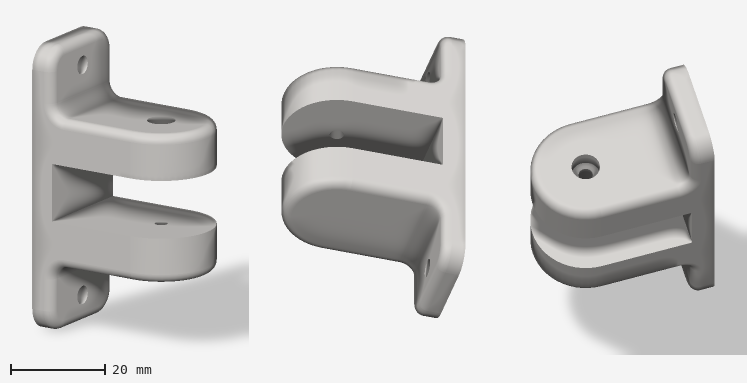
import cadquery as cq

WIDTH = 23.51
PLATE_THICKNESS = 5.0
PLATE_CORNER_RADIUS = 5.0

GAP = 12.72
ARM_THICKNESS = 10.0
PLATE_OVERHANG = 15.0
END_RADIUS = WIDTH / 2
PIVOT_X = 25.0
ARM_LENGTH = PIVOT_X + END_RADIUS
ARM_INNER_Z = GAP / 2
ARM_OUTER_Z = ARM_INNER_Z + ARM_THICKNESS
PLATE_HEIGHT = 2 * (ARM_OUTER_Z + PLATE_OVERHANG)

ROOT_RADIUS = 3.0
EDGE_RADIUS = 2.0

MOUNT_DIAMETER = 4.0
MOUNT_END_DISTANCE = 6.0
SCREW_HEAD_DIAMETER = 6.0
SCREW_HEAD_DEPTH = 3.5
SCREW_DIAMETER = 3.0
PILOT_DIAMETER = 2.8
PILOT_DEPTH = 8.0


def make_plate():
    """Rectangular plate with rounded corners."""
    plate = cq.Workplane("XY").box(
        PLATE_THICKNESS, WIDTH, PLATE_HEIGHT, centered=(False, True, True)
    )
    return plate.edges("|X").fillet(PLATE_CORNER_RADIUS)


def make_arm(bottom_z):
    """Flat arm from the plate back to a half-round end centred on the pivot."""
    return (
        cq.Workplane("XY", origin=(0, 0, bottom_z))
        .moveTo(0, -END_RADIUS)
        .lineTo(PIVOT_X, -END_RADIUS)
        .threePointArc((ARM_LENGTH, 0), (PIVOT_X, END_RADIUS))
        .lineTo(0, END_RADIUS)
        .close()
        .extrude(ARM_THICKNESS)
    )


def round_edges(body):
    """Blend each arm root, then round the rim running over plate and arm."""
    for side in (-1, 1):
        root = cq.selectors.NearestToPointSelector((PLATE_THICKNESS, 0, side * ARM_OUTER_Z))
        body = body.edges(root).fillet(ROOT_RADIUS)
    for side in (-1, 1):
        rim_edge = cq.selectors.NearestToPointSelector((ARM_LENGTH, 0, side * ARM_OUTER_Z))
        body = body.edges(rim_edge).fillet(EDGE_RADIUS)
    return body


def pivot_hole(top_z, diameter, depth):
    """Cylinder on the pivot axis, reaching down from top_z."""
    return (
        cq.Workplane("XY", origin=(PIVOT_X, 0, top_z))
        .circle(diameter / 2)
        .extrude(-depth)
    )


def mount_holes():
    """Pair of holes through the plate, one beyond each arm."""
    offset = PLATE_HEIGHT / 2 - MOUNT_END_DISTANCE
    return (
        cq.Workplane("YZ")
        .pushPoints([(0, -offset), (0, offset)])
        .circle(MOUNT_DIAMETER / 2)
        .extrude(PLATE_THICKNESS)
    )


body = make_plate().union(make_arm(ARM_INNER_Z)).union(make_arm(-ARM_OUTER_Z))
body = round_edges(body)

body = body.cut(pivot_hole(ARM_OUTER_Z, SCREW_HEAD_DIAMETER, SCREW_HEAD_DEPTH))
body = body.cut(pivot_hole(ARM_OUTER_Z, SCREW_DIAMETER, ARM_THICKNESS))
body = body.cut(pivot_hole(-ARM_INNER_Z, PILOT_DIAMETER, PILOT_DEPTH))

result = body.cut(mount_holes())